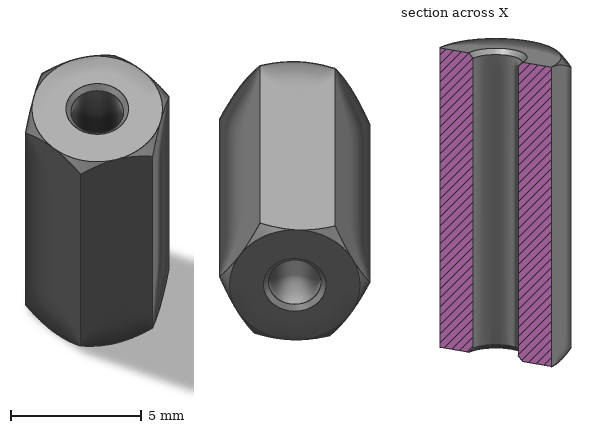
import cadquery as cq
import math

SIDES = 6
ACROSS_FLATS = 5.0
LENGTH = 12.0
BORE_DIAMETER = 2.01
COUNTERSINK_DIAMETER = 2.4
CHAMFER_ANGLE = 45.0
COUNTERSINK_ANGLE = 45.0

ACROSS_CORNERS = ACROSS_FLATS / math.cos(math.pi / SIDES)


def coned_cylinder(end_diameter, middle_diameter, cone_angle):
    """Full-length round body along Z whose ends cone from the middle to the end diameter."""
    end_radius = end_diameter / 2
    middle_radius = middle_diameter / 2
    cone_height = abs(middle_radius - end_radius) * math.tan(math.radians(cone_angle))
    return (
        cq.Workplane("XZ")
        .lineTo(end_radius, 0)
        .lineTo(middle_radius, cone_height)
        .lineTo(middle_radius, LENGTH - cone_height)
        .lineTo(end_radius, LENGTH)
        .lineTo(0, LENGTH)
        .close()
        .revolve(axisStart=(0, 0, 0), axisEnd=(0, 1, 0))
    )


hex_bar = cq.Workplane("XY").polygon(SIDES, ACROSS_CORNERS).extrude(LENGTH)

chamfer_envelope = coned_cylinder(ACROSS_FLATS, ACROSS_CORNERS, CHAMFER_ANGLE)

countersunk_bore = coned_cylinder(COUNTERSINK_DIAMETER, BORE_DIAMETER, COUNTERSINK_ANGLE)

result = hex_bar.intersect(chamfer_envelope).cut(countersunk_bore)